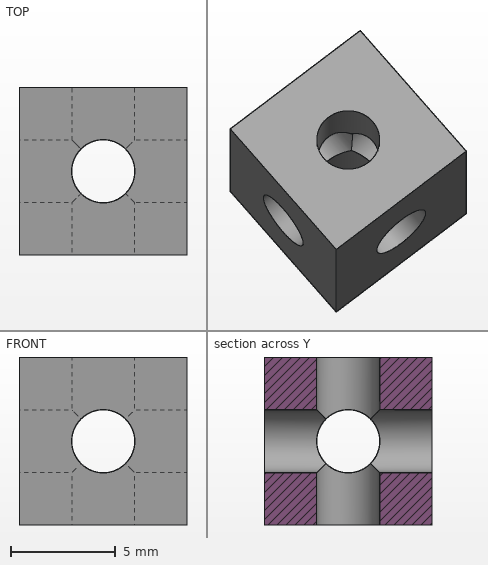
import cadquery as cq

cube_side = 8.0
hole_diameter = 3.0


def drill_through(body, face):
    """Drill a centred hole from the given face through the whole body."""
    return body.faces(face).workplane(centerOption="CenterOfBoundBox").hole(hole_diameter)


result = cq.Workplane("XY").box(cube_side, cube_side, cube_side)

for face in (">X", ">Y", ">Z"):
    result = drill_through(result, face)